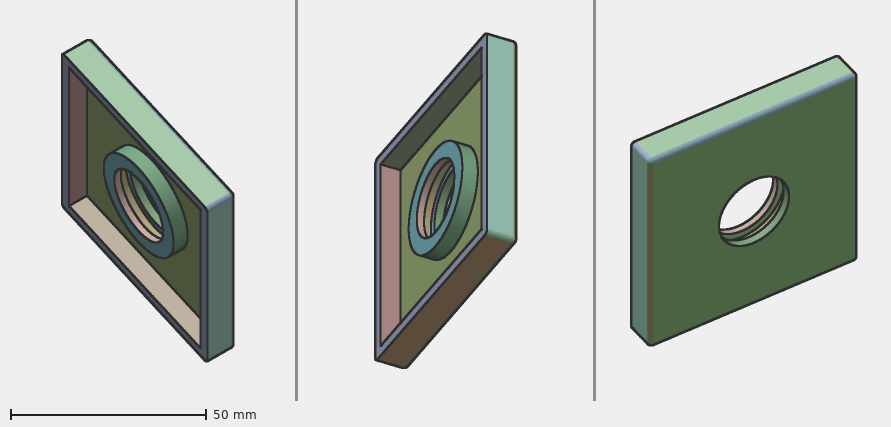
import cadquery as cq

side = 63.5
thickness = 8.9
edge_radius = 1.3
wall = 3.1
pocket_depth = 5.7

ring_diameter = 30.5
ring_height = 4.45
bore_diameter = 21.35

groove_diameter = 25.4
groove_start = 2.55
groove_width = 3.0

floor_thickness = thickness - pocket_depth
ring_top = floor_thickness + ring_height


def cylinder(diameter, start, length):
    """Cylinder along -Y, starting at a given distance from the closed face."""
    return cq.Workplane("XZ", origin=(0, -start, 0)).circle(diameter / 2).extrude(length)


def make_tray():
    """Square block rounded on its corners and closed face, then hollowed."""
    block = cq.Workplane("XZ").rect(side, side).extrude(thickness)
    block = block.edges("|Y").fillet(edge_radius)
    block = block.faces(">Y").edges().fillet(edge_radius)
    opening = side - 2 * wall
    pocket = (
        cq.Workplane("XZ", origin=(0, -floor_thickness, 0))
        .rect(opening, opening)
        .extrude(pocket_depth)
    )
    return block.cut(pocket)


ring = cylinder(ring_diameter, floor_thickness, ring_height)
bore = cylinder(bore_diameter, 0, ring_top)
groove = cylinder(groove_diameter, groove_start, groove_width)

result = make_tray().union(ring).cut(bore).cut(groove)